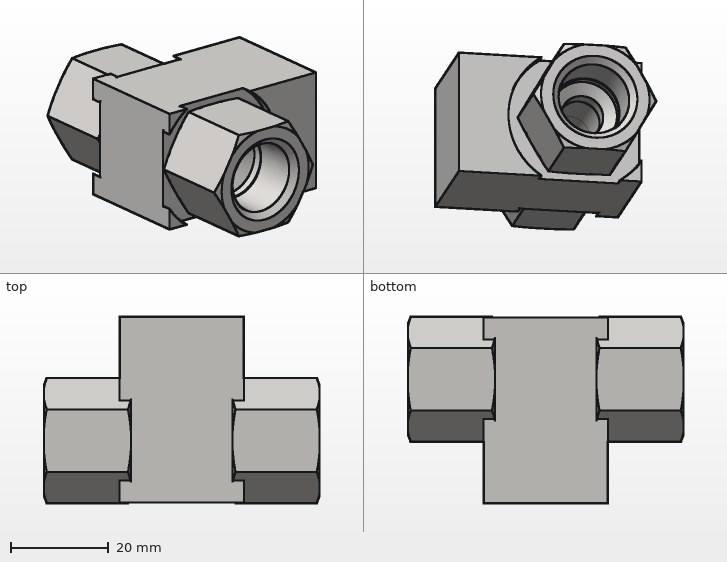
import cadquery as cq
import math

block_width = 25.4
block_length = 1.5 * block_width
block_front = -block_width / 2
spotface_diameter = 30.15
spotface_depth = 2.25
through_bore = 8.75

adapter_outer_x = 28.2
seat_x = block_width / 2 - spotface_depth
adapter_length = adapter_outer_x - seat_x
hex_flats = 22.2
hex_corners = hex_flats / math.cos(math.radians(30))
end_circle = 22.6
chamfer_depth = 0.55

mouth_diameter = 17.55
taper_start_diameter = 14.7
taper_end_diameter = 14.15
drill_diameter = 13.9
mouth_depth = 1.4
taper_end_depth = 10.4
drill_depth = 12.4
drill_point_angle = 118.0
drill_point_depth = (
    (drill_diameter - through_bore) / 2 / math.tan(math.radians(drill_point_angle / 2))
)


def make_block():
    """Square block with a spotface and the through bore on both port sides."""
    block = cq.Workplane("XY").box(block_width, block_length, block_width)
    block = block.translate((0, block_front + block_length / 2, 0))
    for side in (-1, 1):
        spotface = (
            cq.Workplane("YZ", origin=(side * seat_x, 0, 0))
            .circle(spotface_diameter / 2)
            .extrude(side * spotface_depth)
        )
        block = block.cut(spotface)
    bore = cq.Workplane("YZ").circle(through_bore / 2).extrude(block_width / 2, both=True)
    return block.cut(bore)


def revolve_about_x(profile):
    """Solid of revolution from closed (x, radius) points."""
    return cq.Workplane("XY").polyline(profile).close().revolve(360, (0, 0, 0), (1, 0, 0))


def make_adapter():
    """Adapter on the -X side: chamfered hexagon with a tapered, drilled port."""
    outer = -adapter_outer_x
    inner = -seat_x
    hexagon = cq.Workplane("YZ", origin=(outer, 0, 0)).polygon(6, hex_corners).extrude(adapter_length)
    corner_envelope = revolve_about_x([
        (outer, 0),
        (outer, end_circle / 2),
        (outer + chamfer_depth, hex_corners / 2),
        (inner - chamfer_depth, hex_corners / 2),
        (inner, end_circle / 2),
        (inner, 0),
    ])
    port = revolve_about_x([
        (outer, 0),
        (outer, mouth_diameter / 2),
        (outer + mouth_depth, taper_start_diameter / 2),
        (outer + taper_end_depth, taper_end_diameter / 2),
        (outer + taper_end_depth, drill_diameter / 2),
        (outer + drill_depth, drill_diameter / 2),
        (outer + drill_depth + drill_point_depth, through_bore / 2),
        (inner, through_bore / 2),
        (inner, 0),
    ])
    return hexagon.intersect(corner_envelope).cut(port)


block = make_block()
adapters = []
for turn in (0, 180):
    adapters.append(make_adapter().rotate((0, 0, 0), (0, 0, 1), turn))

result = cq.Compound.makeCompound([block.val(), *[adapter.val() for adapter in adapters]])